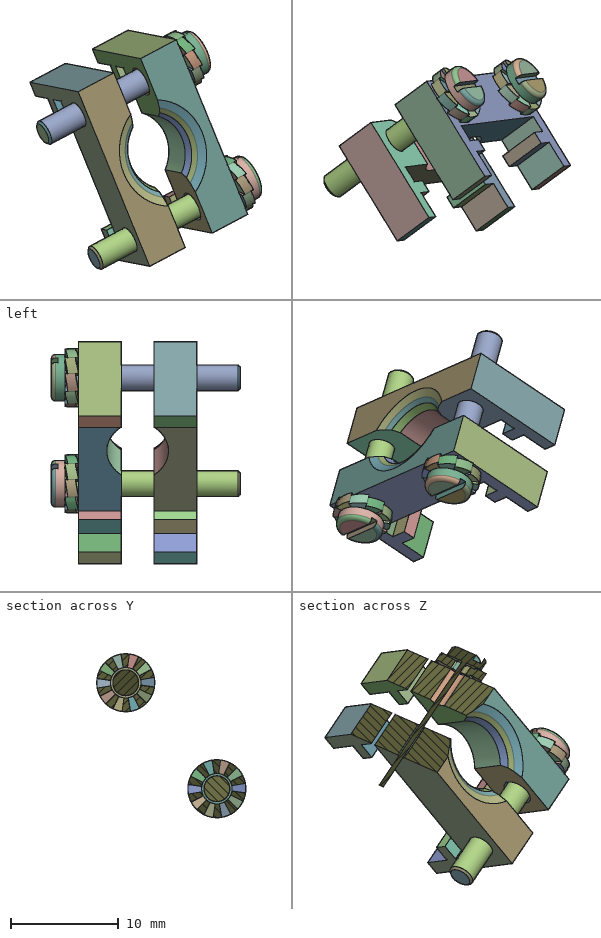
import cadquery as cq
import math

CLAMP_TILT = 49.3

OVERALL_HEIGHT = 20.6
JAW_LENGTH = 18.1
JAW_DEPTH = 4.0
JAW_GAP = 3.0
WEB_THICKNESS = 5.03
ARM_THICKNESS = 1.45
RIB_NEAR = 6.67
RIB_FAR = 7.87
RIB_HEIGHT = 1.69

SCREW_INSET = 2.58
SCREW_SETBACK = 2.15
SHANK_DIAMETER = 2.4
THREADED_HOLE_DIAMETER = 2.45
CLEARANCE_HOLE_DIAMETER = 2.78
SCREW_PROJECTION = 4.02
TIP_CHAMFER = 0.2
HEAD_DIAMETER = 4.35
HEAD_HEIGHT = 1.25
HEAD_RIM_RADIUS = 0.41
SLOT_WIDTH = 0.64
SLOT_DEPTH = 0.62

WASHER_DIAMETER = 5.4
WASHER_HOLE_DIAMETER = 2.82
WASHER_HEIGHT = 1.25
TOOTH_COUNT = 10
TOOTH_TILT = 9.5
FIRST_STEP_ANGLE = 27.7

BORE_AXIS_OFFSET = 2.51
BORE_STATIONS = [(0, 5.4), (0.37, 4.64), (0.72, 4.2), (1.45, 3.87), (WEB_THICKNESS, 3.87)]

TILT_RADIANS = math.radians(CLAMP_TILT)
JAW_REACH = (OVERALL_HEIGHT - JAW_LENGTH * math.sin(TILT_RADIANS)) / math.cos(TILT_RADIANS)

PARTING_Y = JAW_GAP / 2
BACK_FACE_Y = PARTING_Y + JAW_DEPTH
WASHER_TOP_Y = BACK_FACE_Y + WASHER_HEIGHT
HEAD_TOP_Y = WASHER_TOP_Y + HEAD_HEIGHT
TIP_Y = -BACK_FACE_Y - SCREW_PROJECTION
SCREW_PLACES = [SCREW_INSET, JAW_LENGTH - SCREW_INSET]


def tilt(work):
    """Turn a body built with its length along +X and its arms along -Z to its tilted place."""
    return work.rotate((0, 0, 0), (0, 1, 0), CLAMP_TILT)


def y_cylinder(diameter, start, end, x=0, z=0):
    """Cylinder along Y between two Y values."""
    plane = cq.Plane(origin=(x, start, z), xDir=(1, 0, 0), normal=(0, 1, 0))
    return cq.Workplane(plane).circle(diameter / 2).extrude(end - start)


def jaw_blank():
    """C-shaped plate with a rib on the inner face of each arm, behind the parting face."""
    half_outline = [
        (JAW_LENGTH / 2, 0),
        (0, 0),
        (0, -JAW_REACH),
        (ARM_THICKNESS, -JAW_REACH),
        (ARM_THICKNESS, -RIB_FAR),
        (ARM_THICKNESS + RIB_HEIGHT, -RIB_FAR),
        (ARM_THICKNESS + RIB_HEIGHT, -RIB_NEAR),
        (ARM_THICKNESS, -RIB_NEAR),
        (ARM_THICKNESS, -WEB_THICKNESS),
        (JAW_LENGTH / 2, -WEB_THICKNESS),
    ]
    half = cq.Workplane("XZ", origin=(0, PARTING_Y, 0)).polyline(half_outline).close().extrude(-JAW_DEPTH)
    return half.union(half.mirror("YZ", (JAW_LENGTH / 2, 0, 0)))


def bore(axis_y):
    """Flared bore through the web, square to the long outer face."""
    profile = [(0, 0)] + [(radius, -depth) for depth, radius in BORE_STATIONS] + [(0, -WEB_THICKNESS)]
    plane = cq.Workplane("XZ", origin=(JAW_LENGTH / 2, axis_y, 0))
    return plane.polyline(profile).close().revolve(360, (0, 0, 0), (0, 1, 0))


def make_jaw(hole_diameter):
    jaw = jaw_blank().cut(bore(PARTING_Y - BORE_AXIS_OFFSET))
    for x in SCREW_PLACES:
        jaw = jaw.cut(y_cylinder(hole_diameter, PARTING_Y, BACK_FACE_Y, x, -SCREW_SETBACK))
    return jaw


def make_screw(x):
    """Slotted screw along Y with a cylindrical head rounded at its outer rim."""
    shank = y_cylinder(SHANK_DIAMETER, TIP_Y, WASHER_TOP_Y).faces("<Y").chamfer(TIP_CHAMFER)
    head = y_cylinder(HEAD_DIAMETER, WASHER_TOP_Y, HEAD_TOP_Y).faces(">Y").edges().fillet(HEAD_RIM_RADIUS)
    slot = cq.Workplane("XY").box(HEAD_DIAMETER, 2 * SLOT_DEPTH, SLOT_WIDTH).translate((0, HEAD_TOP_Y, 0))
    return shank.union(head).cut(slot).translate((x, 0, -SCREW_SETBACK))


def make_washer(x):
    """Ring of teeth, each twisted about its own radius, so that steps stand between them."""
    step = 360 / TOOTH_COUNT
    half_step = math.radians(step / 2)
    tilt_angle = math.radians(TOOTH_TILT)
    outer_radius = WASHER_DIAMETER / 2
    rise = 2 * outer_radius * math.sin(half_step) * math.tan(tilt_angle)
    blade_thickness = (WASHER_HEIGHT - rise) * math.cos(tilt_angle)
    reach = WASHER_DIAMETER
    sector_half_width = reach * math.tan(half_step)
    sector = (
        cq.Workplane("XZ")
        .polyline([(0, 0), (reach, sector_half_width), (reach, -sector_half_width)])
        .close()
        .extrude(WASHER_HEIGHT, both=True)
    )
    blade = cq.Workplane("XY").box(2 * reach, blade_thickness, reach)
    blade = blade.rotate((0, 0, 0), (1, 0, 0), TOOTH_TILT)
    disc = y_cylinder(WASHER_DIAMETER, -WASHER_HEIGHT, WASHER_HEIGHT)
    hole = y_cylinder(WASHER_HOLE_DIAMETER, -WASHER_HEIGHT, WASHER_HEIGHT)
    tooth = blade.intersect(sector).intersect(disc).cut(hole)
    first = FIRST_STEP_ANGLE + step / 2 + CLAMP_TILT
    washer = cq.Workplane("XY")
    for k in range(TOOTH_COUNT):
        turned = tooth.rotate((0, 0, 0), (0, 1, 0), -(first + k * step))
        washer = washer.add(turned) if k == 0 else washer.union(turned, clean=False)
    return washer.translate((x, BACK_FACE_Y + WASHER_HEIGHT / 2, -SCREW_SETBACK))


back_jaw = tilt(make_jaw(CLEARANCE_HOLE_DIAMETER))
front_jaw = tilt(make_jaw(THREADED_HOLE_DIAMETER).mirror("XZ"))
screws = [tilt(make_screw(x)) for x in SCREW_PLACES]
washers = [tilt(make_washer(x)) for x in SCREW_PLACES]

result = cq.Compound.makeCompound(
    [back_jaw.val(), front_jaw.val()] + [body.val() for body in screws + washers]
)